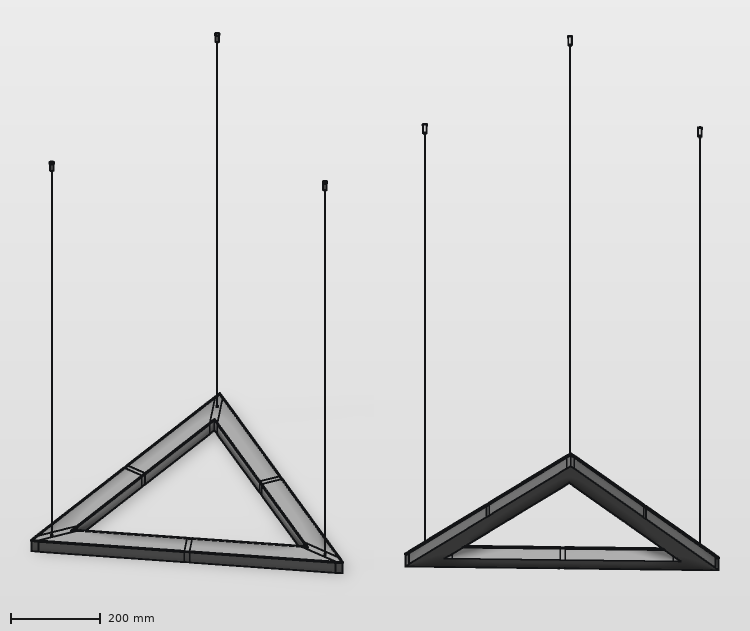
import cadquery as cq
import math

side_length = 700.0
bar_width = 51.0
total_height = 1053.0
frame_top = 32.0
cover_thickness = 2.0
shadow_gap_height = 2.0
shadow_gap_depth = 2.0

corner_band_width = 17.0
middle_band_width = 12.0
band_depth = 0.5

wire_diameter = 1.2
wire_hole_diameter = 4.0
flange_diameter = 11.0
flange_thickness = 2.0
barrel_diameter = 9.0
barrel_length = 18.0
tip_diameter = 3.0
tip_length = 3.0

outer_inradius = side_length / (2 * math.sqrt(3))
inner_inradius = outer_inradius - bar_width
wire_radius = 2 * (outer_inradius - bar_width / 2)
cover_bottom = frame_top - cover_thickness
gap_bottom = cover_bottom - shadow_gap_height
gripper_length = flange_thickness + barrel_length + tip_length
gripper_bottom = total_height - gripper_length
corner_angles = (0, 120, 240)
middle_angles = (60, 180, 300)


def triangle(inradius, bottom, top):
    """Triangular prism with one corner on +X."""
    corners = [
        (2 * inradius * math.cos(math.radians(angle)), 2 * inradius * math.sin(math.radians(angle)))
        for angle in corner_angles
    ]
    return cq.Workplane("XY").workplane(offset=bottom).polyline(corners).close().extrude(top - bottom)


def ring(inset, bottom, top):
    """Triangular ring of bars, its outer and inner faces moved into the bars by inset."""
    outer = triangle(outer_inradius - inset, bottom, top)
    return outer.cut(triangle(inner_inradius + inset, bottom, top))


def bands(bottom, top):
    """Strips running outward from the centre, across the corners and the bar middles."""
    strips = cq.Workplane("XY")
    for angles, width in ((corner_angles, corner_band_width), (middle_angles, middle_band_width)):
        for angle in angles:
            strip = cq.Workplane("XY").box(side_length, width, top - bottom, centered=(False, True, False))
            strips = strips.add(strip.translate((0, 0, bottom)).rotate((0, 0, 0), (0, 0, 1), angle))
    return strips.combine()


def make_housing():
    """Lower ring with shallow side bands, and a narrower neck below the cover."""
    body = ring(0, 0, gap_bottom)
    band_skin = body.cut(ring(band_depth, 0, gap_bottom)).intersect(bands(0, gap_bottom))
    neck = ring(shadow_gap_depth, gap_bottom, cover_bottom)
    return body.cut(band_skin).union(neck)


def make_cover():
    """Top plate with shallow bands in its upper face and a clearance hole for each wire."""
    cover = ring(0, cover_bottom, frame_top).cut(bands(frame_top - band_depth, frame_top))
    holes = (
        cq.Workplane("XY").workplane(offset=cover_bottom)
        .polarArray(wire_radius, 0, 360, len(corner_angles))
        .circle(wire_hole_diameter / 2).extrude(cover_thickness)
    )
    return cover.cut(holes)


def make_wire(angle):
    """Wire from the top of the housing, through the cover, up to the gripper."""
    wire = (
        cq.Workplane("XY").workplane(offset=cover_bottom).center(wire_radius, 0)
        .circle(wire_diameter / 2).extrude(gripper_bottom - cover_bottom)
    )
    return wire.rotate((0, 0, 0), (0, 0, 1), angle)


def make_gripper(angle):
    """Stepped round gripper: narrow tip, barrel and top flange."""
    gripper = (
        cq.Workplane("XY").workplane(offset=gripper_bottom).center(wire_radius, 0)
        .circle(tip_diameter / 2).extrude(tip_length)
        .faces(">Z").workplane().circle(barrel_diameter / 2).extrude(barrel_length)
        .faces(">Z").workplane().circle(flange_diameter / 2).extrude(flange_thickness)
    )
    return gripper.rotate((0, 0, 0), (0, 0, 1), angle)


housing = make_housing()
cover = make_cover()
wires = [make_wire(angle).val() for angle in corner_angles]
grippers = [make_gripper(angle).val() for angle in corner_angles]

result = cq.Compound.makeCompound([housing.val(), cover.val(), *wires, *grippers])